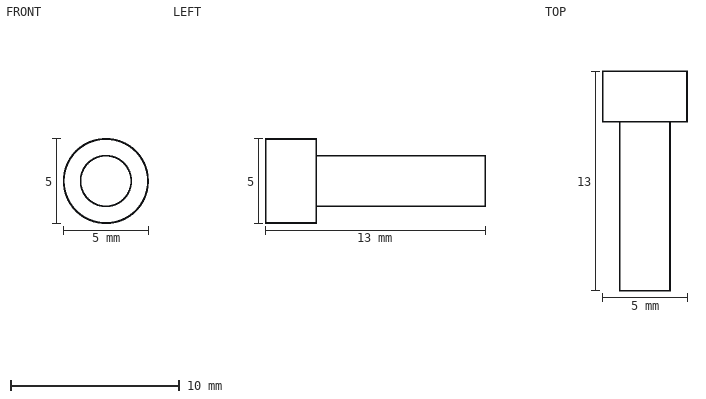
import cadquery as cq

total_length = 13.0
head_length = total_length * 3 / 13
head_diameter = total_length * 5 / 13
shank_diameter = head_length
shank_length = total_length - head_length


def cylinder_along_y(diameter, start_y, length):
    """Solid cylinder on the Y axis, running toward +Y from start_y."""
    return (
        cq.Workplane("XZ", origin=(0, start_y, 0))
        .circle(diameter / 2)
        .extrude(-length)
    )


shank = cylinder_along_y(shank_diameter, -shank_length, shank_length)
head = cylinder_along_y(head_diameter, 0, head_length)

result = shank.union(head)